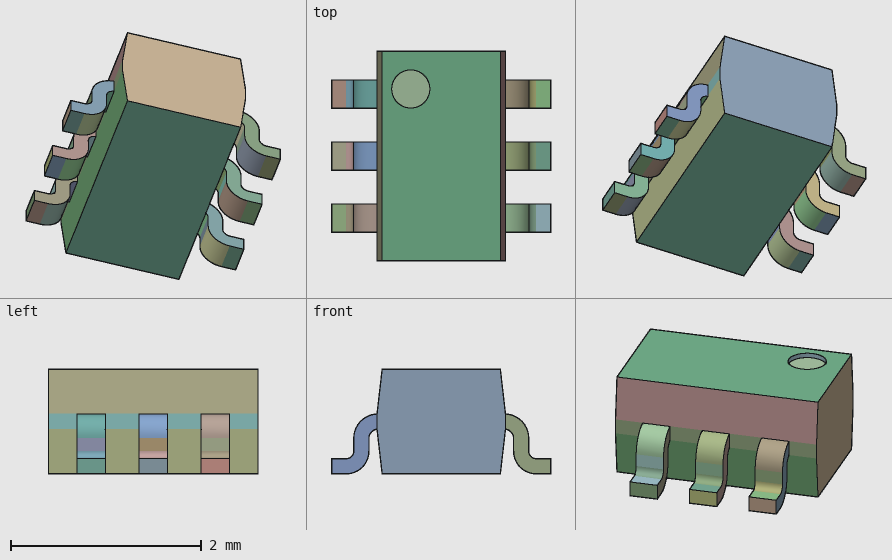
import cadquery as cq
import math

overall_span = 2.3
housing_length = 2.2
housing_height = 1.1

waist_width = 1.35
end_width = 1.242

lead_thickness = 0.16
lead_width = 0.3
lead_pitch = 0.65
leads_per_side = 3
leg_reach = 0.244
foot_inner_radius = 0.078
foot_outer_radius = foot_inner_radius + lead_thickness
shoulder_outer_radius = 0.255
shoulder_inner_radius = shoulder_outer_radius - lead_thickness

waist_bottom = (housing_height - lead_thickness) / 2
waist_top = waist_bottom + lead_thickness

mark_radius = 0.2
mark_depth = 0.05
mark_x = -0.32
mark_y = 0.704


def make_housing():
    """Prism along Y with a six-sided section and the pin 1 recess."""
    half_waist = waist_width / 2
    half_end = end_width / 2
    block = (
        cq.Workplane("XZ")
        .moveTo(-half_end, 0)
        .lineTo(half_end, 0)
        .lineTo(half_waist, waist_bottom)
        .lineTo(half_waist, waist_top)
        .lineTo(half_end, housing_height)
        .lineTo(-half_end, housing_height)
        .lineTo(-half_waist, waist_top)
        .lineTo(-half_waist, waist_bottom)
        .close()
        .extrude(housing_length / 2, both=True)
    )
    mark = (
        cq.Workplane("XY", origin=(mark_x, mark_y, housing_height - mark_depth))
        .circle(mark_radius)
        .extrude(mark_depth)
    )
    return block.cut(mark)


def make_lead():
    """S-shaped lead on the +X side, centred on Y = 0, butting on the waist."""
    root_x = waist_width / 2
    leg_outer_x = root_x + leg_reach
    leg_inner_x = leg_outer_x - lead_thickness
    foot_start_x = leg_outer_x + foot_inner_radius
    foot_tip_x = overall_span / 2
    shoulder_z = waist_top - shoulder_outer_radius

    shoulder_inset = shoulder_outer_radius - leg_reach
    root_top_z = shoulder_z + math.sqrt(shoulder_outer_radius**2 - shoulder_inset**2)
    root_bottom_z = shoulder_z + math.sqrt(shoulder_inner_radius**2 - shoulder_inset**2)

    return (
        cq.Workplane("XZ")
        .moveTo(root_x, root_top_z)
        .radiusArc((leg_outer_x, shoulder_z), shoulder_outer_radius)
        .lineTo(leg_outer_x, foot_outer_radius)
        .radiusArc((foot_start_x, lead_thickness), -foot_inner_radius)
        .lineTo(foot_tip_x, lead_thickness)
        .lineTo(foot_tip_x, 0)
        .lineTo(foot_start_x, 0)
        .radiusArc((leg_inner_x, foot_outer_radius), foot_outer_radius)
        .lineTo(leg_inner_x, shoulder_z)
        .radiusArc((root_x, root_bottom_z), -shoulder_inner_radius)
        .close()
        .extrude(lead_width / 2, both=True)
    )


housing = make_housing()

right_lead = make_lead()
left_lead = right_lead.mirror("YZ")
leads = []
for row in range(leads_per_side):
    row_y = (row - (leads_per_side - 1) / 2) * lead_pitch
    for side_lead in (left_lead, right_lead):
        leads.append(side_lead.translate((0, row_y, 0)).val())

result = cq.Compound.makeCompound([housing.val(), *leads])